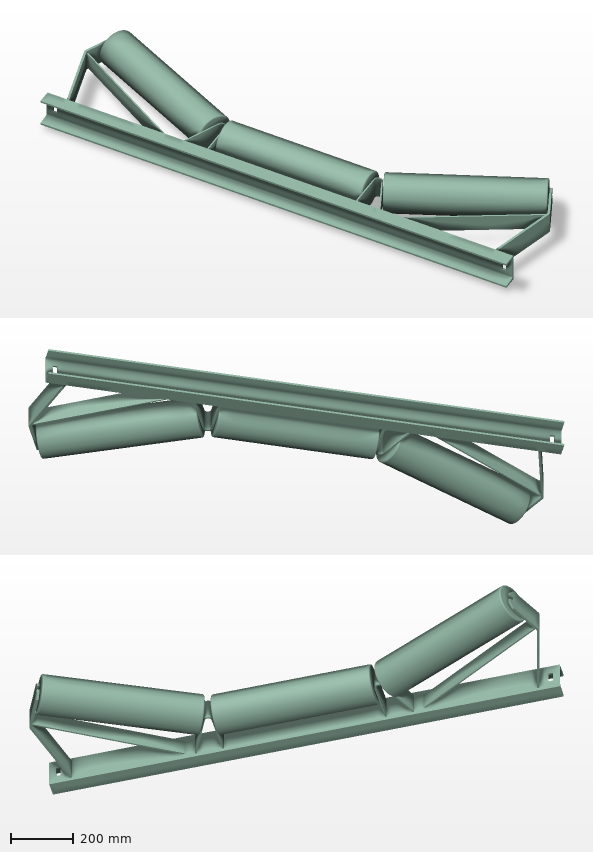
import cadquery as cq
import math

BEAM_LENGTH = 1701.0
BEAM_DEPTH = 48.0
BEAM_HEIGHT = 100.0
WEB_THICKNESS = 6.0
FLANGE_ROOT = 10.0
FLANGE_TIP = 7.0
ROOT_FILLET = 7.0
MOUNT_SLOT_WIDTH = 15.0
MOUNT_SLOT_HEIGHT = 35.0
MOUNT_SLOT_FROM_END = 30.0

ROLLER_RADIUS = 66.0
ROLLER_LENGTH = 531.0
ROLLER_ROUNDING = 5.0
WING_ANGLE = 25.0
CENTRE_ROLLER_Y = 163.0
WING_ROLLER_X = 550.0
WING_ROLLER_Y = 288.0
TANG_WIDTH = 15.0
TANG_HEIGHT = 20.0
END_GAP = 3.0

STRIP_WIDTH = 77.0
INNER_THICKNESS = 5.0
INNER_BEND_RADIUS = 16.5
OUTER_THICKNESS = 8.0
OUTER_BEND_RADIUS = 15.0
OUTER_LEG_ANGLE = 15.0
OUTER_BEND_Y = 298.0
OUTER_TIP_REACH = 29.0
OUTER_TIP_CHAMFER = 19.0
BRACE_THICKNESS = 5.0
BRACE_WIDTH = 58.0
BRACE_FOOT_X = 396.0
BRACE_ANGLE = 30.0

AXIS = cq.Vector(math.cos(math.radians(WING_ANGLE)), math.sin(math.radians(WING_ANGLE)))
ACROSS = cq.Vector(-AXIS.y, AXIS.x)
ALONG_X = cq.Vector(1, 0, 0)
WING_CENTRE = cq.Vector(WING_ROLLER_X, WING_ROLLER_Y)
LEVEL_CENTRE = cq.Vector(0, CENTRE_ROLLER_Y)
BRACKET_REACH = ROLLER_LENGTH / 2 + END_GAP
LEG_DIRECTION = cq.Vector(
    math.sin(math.radians(OUTER_LEG_ANGLE)), math.cos(math.radians(OUTER_LEG_ANGLE))
)


def at_height(point, direction, y):
    """Point at height y on the line through `point` along `direction`."""
    return point + direction * ((y - point.y) / direction.y)


def flat(point):
    return (point.x, point.y)


def flat_points(points):
    return [flat(point) for point in points]


def mirrored_pair(body):
    """The +X body and its copy on the -X side."""
    return [body, body.mirror("YZ")]


def make_beam():
    half_height = BEAM_HEIGHT / 2
    web_front = BEAM_DEPTH - WEB_THICKNESS
    section = [
        (BEAM_DEPTH, -half_height),
        (BEAM_DEPTH, half_height),
        (0, half_height),
        (0, half_height - FLANGE_TIP),
        (web_front, half_height - FLANGE_ROOT),
        (web_front, FLANGE_ROOT - half_height),
        (0, FLANGE_TIP - half_height),
        (0, -half_height),
    ]
    beam = cq.Workplane("YZ").polyline(section).close().extrude(BEAM_LENGTH / 2, both=True)
    root_corners = cq.selectors.BoxSelector(
        (-BEAM_LENGTH, web_front - WEB_THICKNESS / 2, FLANGE_TIP - half_height),
        (BEAM_LENGTH, web_front + WEB_THICKNESS / 2, half_height - FLANGE_TIP),
    )
    beam = beam.edges("|X").edges(root_corners).fillet(ROOT_FILLET)
    slot_x = BEAM_LENGTH / 2 - MOUNT_SLOT_FROM_END
    slots = (
        cq.Workplane("XZ")
        .pushPoints([(-slot_x, 0), (slot_x, 0)])
        .rect(MOUNT_SLOT_WIDTH, MOUNT_SLOT_HEIGHT)
        .extrude(-BEAM_DEPTH)
    )
    return beam.cut(slots)


def make_tang(centre, axis, thickness):
    """Flattened shaft end on the side that `axis` points to, flush with a bracket of that thickness."""
    plane = cq.Plane(centre + axis * (ROLLER_LENGTH / 2), xDir=(0, 0, 1), normal=axis)
    return cq.Workplane(plane).rect(TANG_WIDTH, TANG_HEIGHT).extrude(END_GAP + thickness)


def make_roller(centre, axis, end_thickness, start_thickness):
    start_face = cq.Plane(centre - axis * (ROLLER_LENGTH / 2), xDir=(0, 0, 1), normal=axis)
    shell = cq.Workplane(start_face).circle(ROLLER_RADIUS).extrude(ROLLER_LENGTH)
    shell = shell.edges("%CIRCLE").fillet(ROLLER_ROUNDING)
    end_tang = make_tang(centre, axis, end_thickness)
    start_tang = make_tang(centre, axis * -1, start_thickness)
    return shell.union(end_tang).union(start_tang)


def make_inner_bracket():
    """Strip with an upright leg and a leg square to the wing axis, joined by a round bend."""
    bend_x = BRACKET_REACH + INNER_BEND_RADIUS
    bend_along_axis = WING_CENTRE.dot(AXIS) - BRACKET_REACH - INNER_BEND_RADIUS
    bend_y = (bend_along_axis - bend_x * AXIS.x) / AXIS.y
    bend = cq.Vector(bend_x, bend_y)
    crown = (AXIS - ALONG_X).normalized()
    inside_radius = INNER_BEND_RADIUS - INNER_THICKNESS

    upright_outside = bend - ALONG_X * INNER_BEND_RADIUS
    upright_inside = bend - ALONG_X * inside_radius
    tilted_outside = bend + AXIS * INNER_BEND_RADIUS
    tilted_inside = bend + AXIS * inside_radius
    tilted_outside_foot = at_height(tilted_outside, ACROSS, BEAM_DEPTH)
    tilted_inside_foot = at_height(tilted_inside, ACROSS, BEAM_DEPTH)
    crown_outside = bend + crown * INNER_BEND_RADIUS
    crown_inside = bend + crown * inside_radius
    bracket = (
        cq.Workplane("XY")
        .moveTo(upright_outside.x, BEAM_DEPTH)
        .lineTo(*flat(upright_outside))
        .threePointArc(flat(crown_outside), flat(tilted_outside))
        .lineTo(*flat(tilted_outside_foot))
        .lineTo(*flat(tilted_inside_foot))
        .lineTo(*flat(tilted_inside))
        .threePointArc(flat(crown_inside), flat(upright_inside))
        .lineTo(upright_inside.x, BEAM_DEPTH)
        .close()
        .extrude(STRIP_WIDTH / 2, both=True)
    )
    level_tang = make_tang(LEVEL_CENTRE, ALONG_X, INNER_THICKNESS)
    wing_tang = make_tang(WING_CENTRE, AXIS * -1, INNER_THICKNESS)
    return bracket.cut(level_tang).cut(wing_tang)


def make_outer_bracket():
    """Leaning leg bent to an arm square to the wing axis, with an open slot for the shaft end."""
    inside = WING_CENTRE + AXIS * BRACKET_REACH
    outside = inside + AXIS * OUTER_THICKNESS
    outside_corner = at_height(outside, ACROSS, OUTER_BEND_Y)
    half_bend = math.radians(WING_ANGLE + OUTER_LEG_ANGLE) / 2
    corner_shift = OUTER_THICKNESS * math.tan(half_bend)
    inside_corner = outside_corner - AXIS * OUTER_THICKNESS + ACROSS * corner_shift
    outline = [
        at_height(outside_corner, LEG_DIRECTION, BEAM_DEPTH),
        outside_corner,
        outside + ACROSS * OUTER_TIP_REACH,
        inside + ACROSS * OUTER_TIP_REACH,
        inside_corner,
        at_height(inside_corner, LEG_DIRECTION, BEAM_DEPTH),
    ]
    bracket = (
        cq.Workplane("XY").polyline(flat_points(outline)).close().extrude(STRIP_WIDTH / 2, both=True)
    )
    nearest = cq.selectors.NearestToPointSelector
    bracket = bracket.edges(nearest((outside_corner.x, outside_corner.y, 0))).fillet(OUTER_BEND_RADIUS)
    bracket = bracket.edges(nearest((inside_corner.x, inside_corner.y, 0))).fillet(
        OUTER_BEND_RADIUS - OUTER_THICKNESS
    )
    tip = (outside + inside) / 2 + ACROSS * OUTER_TIP_REACH
    for side in (-1, 1):
        corner = (tip.x, tip.y, side * STRIP_WIDTH / 2)
        bracket = bracket.edges(nearest(corner)).chamfer(OUTER_TIP_CHAMFER)
    slot_plane = cq.Plane(inside, xDir=(0, 0, -1), normal=AXIS)
    slot_bottom = -TANG_HEIGHT / 2
    slot = (
        cq.Workplane(slot_plane)
        .center(0, (slot_bottom + OUTER_TIP_REACH) / 2)
        .rect(TANG_WIDTH, OUTER_TIP_REACH - slot_bottom)
        .extrude(OUTER_THICKNESS)
    )
    return bracket.cut(slot)


def make_brace(outer_bracket):
    """Sloping strip from the beam up to the inside of the bend in the outer bracket."""
    slope = cq.Vector(math.cos(math.radians(BRACE_ANGLE)), math.sin(math.radians(BRACE_ANGLE)))
    upper_foot = cq.Vector(BRACE_FOOT_X, BEAM_DEPTH)
    lower_foot = upper_foot + ALONG_X * (BRACE_THICKNESS / slope.y)
    run = slope * ((BEAM_LENGTH / 2 - BRACE_FOOT_X) / slope.x)
    outline = [upper_foot, upper_foot + run, lower_foot + run, lower_foot]
    strip = cq.Workplane("XY").polyline(flat_points(outline)).close().extrude(BRACE_WIDTH / 2, both=True)
    return strip.cut(outer_bracket).solids("<X")


beam = make_beam()
level_roller = make_roller(LEVEL_CENTRE, ALONG_X, INNER_THICKNESS, INNER_THICKNESS)
wing_roller = make_roller(WING_CENTRE, AXIS, OUTER_THICKNESS, INNER_THICKNESS)
inner_bracket = make_inner_bracket()
outer_bracket = make_outer_bracket()
brace = make_brace(outer_bracket)

bodies = [beam.val(), level_roller.val()]
for wing_body in (wing_roller, inner_bracket, outer_bracket, brace):
    bodies.extend(mirrored_pair(wing_body.val()))

result = cq.Compound.makeCompound(bodies)